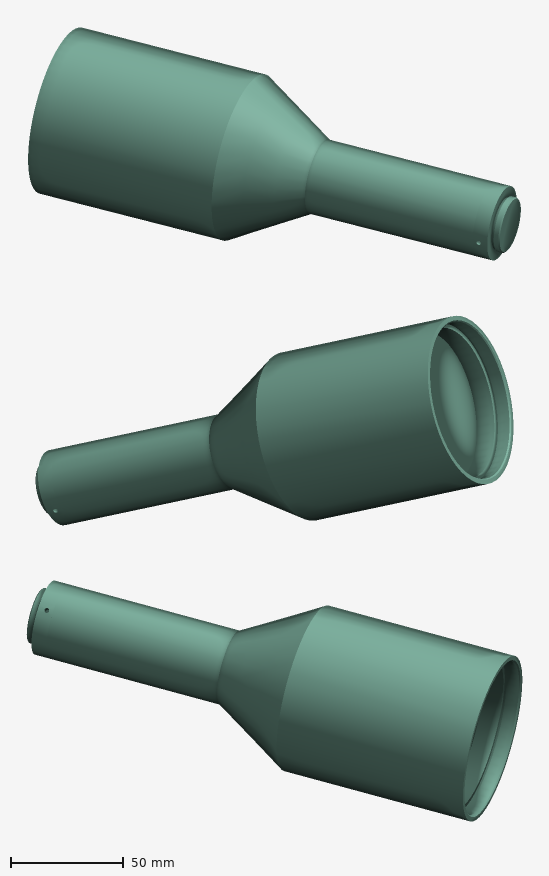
import cadquery as cq
import math

total_length = 215.53
thread_length = 4.0
mount_face_x = total_length - thread_length
ring_length = 7.0
joint_x = mount_face_x - ring_length

head_radius = 38.0
head_length = 88.0
tube_radius = 17.0
cone_end_x = 124.0

filter_bore_radius = 35.45
filter_bore_depth = 7.5
filter_bore_chamfer = 0.55
filter_relief_radius = filter_bore_radius + filter_bore_chamfer
filter_relief_length = 1.0
lens_bore_radius = 34.0
lens_face_x = 16.5

thread_radius = 12.7
thread_chamfer = 0.5
thread_relief_radius = 12.0
thread_relief_length = 1.3
screw_hole_diameter = 2.2
screw_hole_depth = 3.0
screw_hole_x = joint_x + 2.9
screw_count = 3


def revolve_about_x(points):
    """Revolve an (x, radius) outline one full turn about the X axis."""
    return cq.Workplane("XY").polyline(points).close().revolve(360, (0, 0, 0), (1, 0, 0))


def make_barrel():
    """Lens head, cone and tube in one piece, with the stepped front recess."""
    relief_start_x = filter_bore_depth - filter_relief_length
    return revolve_about_x([
        (lens_face_x, 0),
        (lens_face_x, lens_bore_radius),
        (filter_bore_depth, lens_bore_radius),
        (filter_bore_depth, filter_relief_radius),
        (relief_start_x, filter_relief_radius),
        (relief_start_x, filter_bore_radius),
        (filter_bore_chamfer, filter_bore_radius),
        (0, filter_relief_radius),
        (0, head_radius),
        (head_length, head_radius),
        (cone_end_x, tube_radius),
        (joint_x, tube_radius),
        (joint_x, 0),
    ])


def make_screw_hole(angle):
    """Radial cutter for one set screw hole; the angle runs about X from +Y towards +Z."""
    direction = cq.Vector(0, math.cos(math.radians(angle)), math.sin(math.radians(angle)))
    floor_center = cq.Vector(screw_hole_x, 0, 0) + direction * (tube_radius - screw_hole_depth)
    cutter_length = 2 * screw_hole_depth
    return cq.Solid.makeCylinder(screw_hole_diameter / 2, cutter_length, floor_center, direction)


def make_camera_ring():
    """Camera ring with its thread stub, thread relief and evenly spaced set screw holes."""
    relief_end_x = mount_face_x + thread_relief_length
    ring = revolve_about_x([
        (joint_x, 0),
        (joint_x, tube_radius),
        (mount_face_x, tube_radius),
        (mount_face_x, thread_relief_radius),
        (relief_end_x, thread_relief_radius),
        (relief_end_x, thread_radius),
        (total_length - thread_chamfer, thread_radius),
        (total_length, thread_radius - thread_chamfer),
        (total_length, 0),
    ])
    first_angle = 180
    for index in range(screw_count):
        ring = ring.cut(cq.Workplane(make_screw_hole(first_angle + index * 360 / screw_count)))
    return ring


barrel = make_barrel()
camera_ring = make_camera_ring()

result = cq.Compound.makeCompound([barrel.val(), camera_ring.val()])